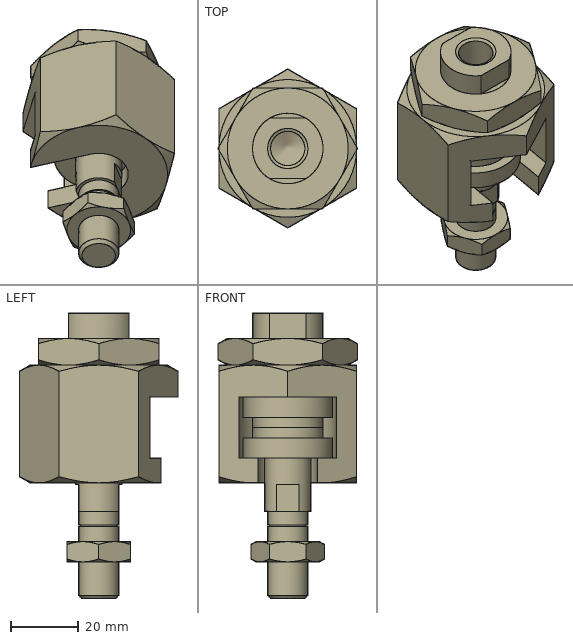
import cadquery as cq
import math

TOTAL_HEIGHT = 85.0
BIG_NUT_TOP = 77.5
HOUSING_TOP = 69.5
SLOT_TOP = 60.0
SLOT_BOTTOM = 41.8
HOUSING_BOTTOM = 34.5
SHANK_FLAT_TOP = 34.0
SHANK_BOTTOM = 26.0
RELIEF_TOP = 22.0
SMALL_NUT_TOP = 17.0
SMALL_NUT_BOTTOM = 11.0

HOUSING_CORNERS = 47.35
BIG_NUT_CORNERS = 41.6
SMALL_NUT_CORNERS = 21.9
CHAMFER_ANGLE = math.radians(30)
CORNER_TO_FRONT = 30

SLOT_WIDTH = 29.0
THROAT_WIDTH = 17.6

SOCKET_DIAMETER = 21.0
SOCKET_FLATS = 18.0
THREAD_DIAMETER = 12.0
BORE_DIAMETER = 10.2
BORE_DEPTH = 18.0
DRILL_POINT_ANGLE = 120.0

FLANGE_DIAMETER = 26.6
FLANGE_THICKNESS = 6.0

SHANK_DIAMETER = 13.8
SHANK_FLATS = 12.0
TIP_CHAMFER = 1.0
RELIEF_WIDTH = 0.5
RELIEF_DEPTH = 0.5

CONTACT_HEIGHT = (SLOT_TOP + SLOT_BOTTOM) / 2


def cylinder(diameter, bottom, top):
    return cq.Workplane("XY").workplane(offset=bottom).circle(diameter / 2).extrude(top - bottom)


def chamfered_hexagon(corners, bottom, top, turn=0):
    """Hexagonal prism whose corners are turned off by a cone at both ends."""
    corner_radius = corners / 2
    flat_radius = corner_radius * math.cos(math.pi / 6)
    drop = (corner_radius - flat_radius) * math.tan(CHAMFER_ANGLE)
    prism = (
        cq.Workplane("XY")
        .workplane(offset=bottom)
        .polygon(6, corners)
        .extrude(top - bottom)
        .rotate((0, 0, 0), (0, 0, 1), turn)
    )
    envelope = (
        cq.Workplane("XZ")
        .moveTo(0, bottom)
        .lineTo(flat_radius, bottom)
        .lineTo(corner_radius, bottom + drop)
        .lineTo(corner_radius, top - drop)
        .lineTo(flat_radius, top)
        .lineTo(0, top)
        .close()
        .revolve(360, (0, 0), (0, 1))
    )
    return prism.intersect(envelope)


def cut_two_flats(body, flats, bottom, top):
    """Leave only the material between two planes across Y, from bottom to top."""
    height = top - bottom
    middle = (bottom + top) / 2
    for side in (-1, 1):
        waste = cq.Workplane("XY").box(HOUSING_CORNERS, HOUSING_CORNERS, height)
        body = body.cut(waste.translate((0, side * (flats + HOUSING_CORNERS) / 2, middle)))
    return body


def round_ended_slot(width, bottom, top):
    """Slot open toward -Y that ends in a half circle around the axis."""
    height = top - bottom
    channel = (
        cq.Workplane("XY")
        .workplane(offset=bottom)
        .center(0, -HOUSING_CORNERS / 2)
        .rect(width, HOUSING_CORNERS)
        .extrude(height)
    )
    return channel.union(cylinder(width, bottom, top))


def slotted_block():
    block = chamfered_hexagon(HOUSING_CORNERS, HOUSING_BOTTOM, HOUSING_TOP, CORNER_TO_FRONT)
    block = block.cut(round_ended_slot(SLOT_WIDTH, SLOT_BOTTOM, SLOT_TOP))
    block = block.cut(round_ended_slot(THROAT_WIDTH, HOUSING_BOTTOM, SLOT_BOTTOM))
    return block.cut(cylinder(SOCKET_DIAMETER, SLOT_TOP, HOUSING_TOP))


def make_big_nut():
    nut = chamfered_hexagon(BIG_NUT_CORNERS, HOUSING_TOP, BIG_NUT_TOP)
    return nut.cut(cylinder(SOCKET_DIAMETER, HOUSING_TOP, BIG_NUT_TOP))


def make_socket():
    body = cylinder(SOCKET_DIAMETER, CONTACT_HEIGHT, TOTAL_HEIGHT)
    body = body.union(cylinder(FLANGE_DIAMETER, SLOT_TOP - FLANGE_THICKNESS, SLOT_TOP))
    body = cut_two_flats(body, SOCKET_FLATS, BIG_NUT_TOP, TOTAL_HEIGHT)
    return body.cut(threaded_bore())


def threaded_bore():
    """Blind bore with a drill point and a mouth countersunk at the same angle."""
    bore_radius = BORE_DIAMETER / 2
    mouth_radius = THREAD_DIAMETER / 2
    bore_bottom = TOTAL_HEIGHT - BORE_DEPTH
    slope = 1 / math.tan(math.radians(DRILL_POINT_ANGLE / 2))
    return (
        cq.Workplane("XZ")
        .moveTo(0, TOTAL_HEIGHT)
        .lineTo(mouth_radius, TOTAL_HEIGHT)
        .lineTo(bore_radius, TOTAL_HEIGHT - (mouth_radius - bore_radius) * slope)
        .lineTo(bore_radius, bore_bottom)
        .lineTo(0, bore_bottom - bore_radius * slope)
        .close()
        .revolve(360, (0, 0), (0, 1))
    )


def stud_shape():
    rod = cylinder(THREAD_DIAMETER, 0, SHANK_BOTTOM).faces("<Z").chamfer(TIP_CHAMFER)
    relief_bottom = RELIEF_TOP - RELIEF_WIDTH
    relief = cylinder(THREAD_DIAMETER, relief_bottom, RELIEF_TOP)
    relief = relief.cut(cylinder(THREAD_DIAMETER - 2 * RELIEF_DEPTH, relief_bottom, RELIEF_TOP))
    shank = cylinder(SHANK_DIAMETER, SHANK_BOTTOM, SLOT_BOTTOM)
    shank = cut_two_flats(shank, SHANK_FLATS, SHANK_BOTTOM, SHANK_FLAT_TOP)
    flange = cylinder(FLANGE_DIAMETER, SLOT_BOTTOM, SLOT_BOTTOM + FLANGE_THICKNESS)
    nose = cylinder(SOCKET_DIAMETER, SLOT_BOTTOM, CONTACT_HEIGHT)
    return rod.cut(relief).union(shank).union(flange).union(nose)


def make_holder():
    """Slotted block and stud in one piece, joined where the stud flange rests on the slot floor."""
    return slotted_block().union(stud_shape())


def make_small_nut():
    nut = chamfered_hexagon(SMALL_NUT_CORNERS, SMALL_NUT_BOTTOM, SMALL_NUT_TOP)
    return nut.cut(cylinder(THREAD_DIAMETER, SMALL_NUT_BOTTOM, SMALL_NUT_TOP))


holder = make_holder()
big_nut = make_big_nut()
socket = make_socket()
small_nut = make_small_nut()

result = cq.Compound.makeCompound([holder.val(), big_nut.val(), socket.val(), small_nut.val()])